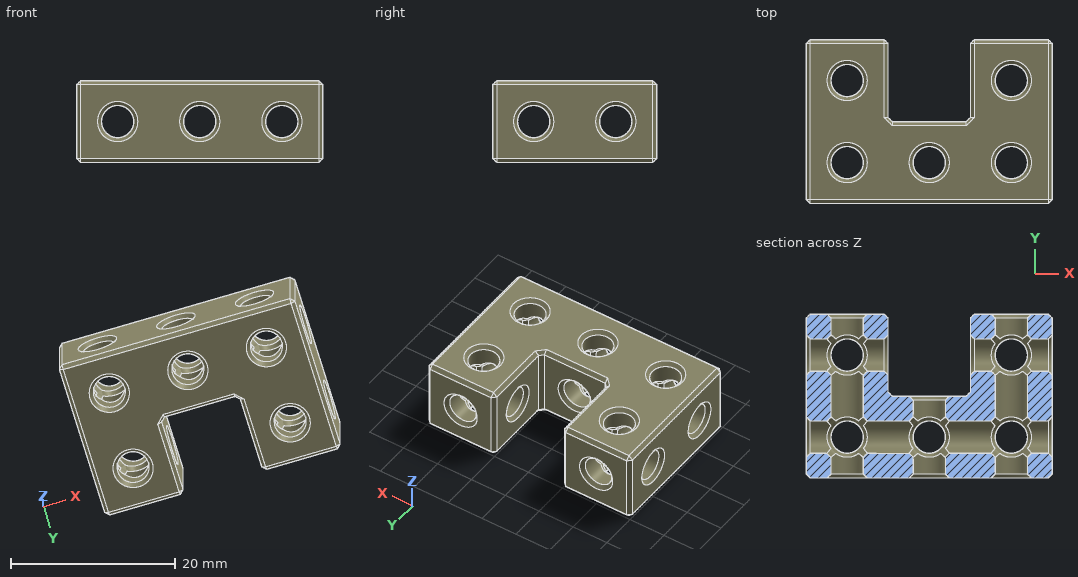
import cadquery as cq

LENGTH = 30.0
COLUMNS = 3
ROWS = 2
PITCH = LENGTH / COLUMNS
WIDTH = ROWS * PITCH
HEIGHT = PITCH

HOLE_DIAMETER = 3.9
CHAMFER = PITCH / 20

COLUMN_CENTERS = [(column - (COLUMNS - 1) / 2) * PITCH for column in range(COLUMNS)]
ROW_CENTERS = [(row - (ROWS - 1) / 2) * PITCH for row in range(ROWS)]


def make_block():
    """U-shaped block with sharp edges, centred on the origin."""
    block = cq.Workplane("XY").box(LENGTH, WIDTH, HEIGHT)
    notch = cq.Workplane("XY").box(PITCH, PITCH, HEIGHT)
    return block.cut(notch.translate((COLUMN_CENTERS[1], ROW_CENTERS[-1], 0)))


def make_holes():
    """Through holes along X, Y and Z that cross at the centre of every grid cube."""
    along_x = [(y, 0) for y in ROW_CENTERS]
    along_y = [(x, 0) for x in COLUMN_CENTERS]
    along_z = [(x, y) for x in COLUMN_CENTERS for y in ROW_CENTERS]
    radius = HOLE_DIAMETER / 2
    holes = cq.Workplane("YZ").pushPoints(along_x).circle(radius).extrude(LENGTH / 2, both=True)
    holes = holes.union(cq.Workplane("XZ").pushPoints(along_y).circle(radius).extrude(WIDTH / 2, both=True))
    return holes.union(cq.Workplane("XY").pushPoints(along_z).circle(radius).extrude(HEIGHT / 2, both=True))


result = make_block().cut(make_holes()).edges().chamfer(CHAMFER)